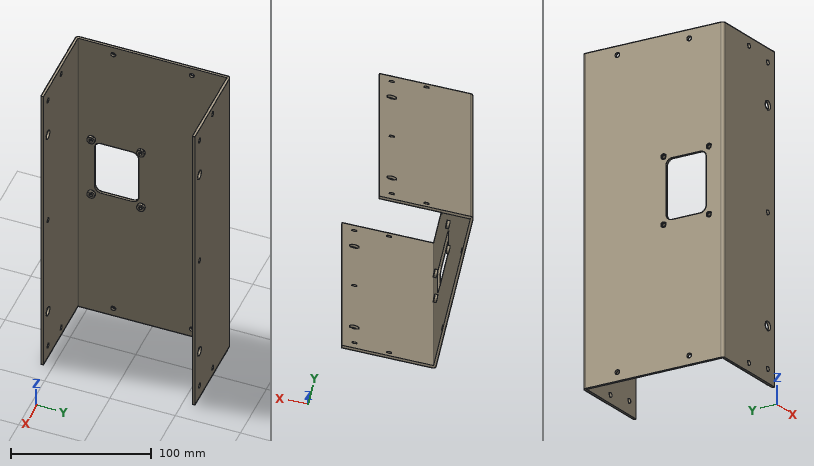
import cadquery as cq

LENGTH = 257.0
DEPTH = 69.0
WIDTH = 118.0
THICKNESS = 2.0
BEND_OUTER_RADIUS = 2.18
BEND_INNER_RADIUS = BEND_OUTER_RADIUS - THICKNESS

SCREW_HOLE_DIAMETER = 3.5
LARGE_HOLE_DIAMETER = 7.0
FREE_EDGE_TO_HOLES = 9.0
FREE_ROW_X = DEPTH - FREE_EDGE_TO_HOLES
CORNER_HOLE_Z = LENGTH / 2 - 11.0
MIDDLE_HOLE_Z = 2.5
LARGE_HOLE_Z = LENGTH / 2 - 44.0

END_HOLE_Z = LENGTH / 2 - 7.0
END_HOLE_X = DEPTH / 2
WEB_HOLE_Y = 30.0

WINDOW_Y = -27.5
WINDOW_Z = 9.5
WINDOW_WIDTH = 33.7
WINDOW_HEIGHT = 47.3
WINDOW_CORNER_RADIUS = 5.1
NUT_SPACING_Y = 38.0
NUT_SPACING_Z = 52.2

NUT_SHANK_DIAMETER = 4.0
NUT_SHANK_LENGTH = 1.0
NUT_HEAD_DIAMETER = 6.0
NUT_HEAD_HEIGHT = 2.0
NUT_BORE_DIAMETER = 2.5

NUT_POSITIONS = [
    (WINDOW_Y + side * NUT_SPACING_Y / 2, WINDOW_Z + end * NUT_SPACING_Z / 2)
    for side in (-1, 1)
    for end in (-1, 1)
]


def channel_blank():
    """U-shaped channel with rounded bends, before any cut."""
    outer = (
        cq.Workplane("XY")
        .box(DEPTH, WIDTH, LENGTH, centered=(False, True, True))
        .edges("|Z and <X")
        .fillet(BEND_OUTER_RADIUS)
    )
    inner = (
        cq.Workplane("XY")
        .box(DEPTH, WIDTH - 2 * THICKNESS, LENGTH, centered=(False, True, True))
        .edges("|Z and <X")
        .fillet(BEND_INNER_RADIUS)
        .translate((THICKNESS, 0, 0))
    )
    return outer.cut(inner)


def flange_holes(diameter, positions):
    """Cylinders along Y through both flanges, at (x, z) positions."""
    return cq.Workplane("XZ").pushPoints(positions).circle(diameter / 2).extrude(WIDTH, both=True)


def web_holes(diameter, positions):
    """Cylinders along X through the web, at (y, z) positions."""
    return cq.Workplane("YZ").pushPoints(positions).circle(diameter / 2).extrude(THICKNESS)


def web_window():
    """Rounded rectangular opening through the web."""
    return (
        cq.Workplane("YZ")
        .center(WINDOW_Y, WINDOW_Z)
        .rect(WINDOW_WIDTH, WINDOW_HEIGHT)
        .extrude(THICKNESS)
        .edges("|X")
        .fillet(WINDOW_CORNER_RADIUS)
    )


def make_channel():
    flange_screw_positions = [
        (FREE_ROW_X, CORNER_HOLE_Z),
        (FREE_ROW_X, MIDDLE_HOLE_Z),
        (FREE_ROW_X, -CORNER_HOLE_Z),
        (END_HOLE_X, END_HOLE_Z),
        (END_HOLE_X, -END_HOLE_Z),
    ]
    large_positions = [(FREE_ROW_X, end * LARGE_HOLE_Z) for end in (-1, 1)]
    web_screw_positions = [(side * WEB_HOLE_Y, end * END_HOLE_Z) for side in (-1, 1) for end in (-1, 1)]
    return (
        channel_blank()
        .cut(flange_holes(SCREW_HOLE_DIAMETER, flange_screw_positions))
        .cut(flange_holes(LARGE_HOLE_DIAMETER, large_positions))
        .cut(web_holes(SCREW_HOLE_DIAMETER, web_screw_positions))
        .cut(web_window())
        .cut(web_holes(NUT_SHANK_DIAMETER, NUT_POSITIONS))
    )


def make_press_nut(y, z):
    """Stepped bushing along X, its shank ending short of the outer face of the web."""
    return (
        cq.Workplane("YZ", origin=(THICKNESS - NUT_SHANK_LENGTH, 0, 0))
        .center(y, z)
        .circle(NUT_SHANK_DIAMETER / 2)
        .extrude(NUT_SHANK_LENGTH)
        .faces(">X")
        .workplane()
        .circle(NUT_HEAD_DIAMETER / 2)
        .extrude(NUT_HEAD_HEIGHT)
        .faces(">X")
        .workplane()
        .circle(NUT_BORE_DIAMETER / 2)
        .cutThruAll()
    )


channel = make_channel()
press_nuts = [make_press_nut(y, z) for y, z in NUT_POSITIONS]

result = cq.Compound.makeCompound([channel.val(), *[nut.val() for nut in press_nuts]])